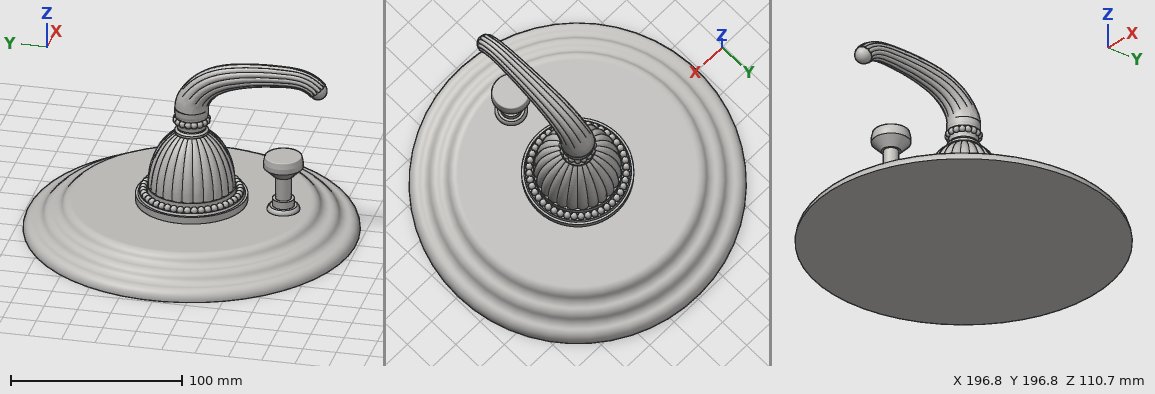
import cadquery as cq
import math

PLATE_RADIUS = 196.85 / 2
PLATE_TOP = 18.8
FLAT_RADIUS = 70.0
STEP_WIDTH = 5.5
STEP_DROP = 3.05
STEP_COUNT = 4
RIM_LAND = 0.2

DISC_RADIUS = 32.8
DISC_TOP = 23.1
BEAD_SEAT_RADIUS = 31.4
BEAD_SEAT_RIM = 30.7
BEAD_SEAT_TOP = 24.5
DOME_SEAT_RADIUS = 25.9
DOME_SEAT_TOP = 28.7
DISC_BEAD_COUNT = 44
DISC_BEAD_RING_RADIUS = 28.4
DISC_BEAD_RADIUS = 2.15
DISC_BEAD_HEIGHT = 25.4

DOME_FLUTES = 24
DOME_RADIUS = 25.6
DOME_ELLIPSE_HEIGHT = 36.5
DOME_TOP = 63.2
DOME_SECTIONS = 7
DOME_GROOVE_RATIO = 0.05

COLLAR_RADIUS = 9.9
COLLAR_BOTTOM = 62.8
COLLAR_EDGE_TOP = 64.3
COLLAR_TOP = 65.3
COLLAR_TOP_RADIUS = 8.4
NECK_RADIUS = 5.8
FLARE_BOTTOM = 66.1
FLARE_EDGE_TOP = 67.4
FLARE_RADIUS = 8.4
FLARE_TOP = 70.0
SHANK_RADIUS = 9.9
SHANK_BOTTOM = 73.0
SHANK_FOOT_RADIUS = 9.6
SHANK_FOOT_TOP = 73.9
SHANK_TAPER_TOP = 75.3
SHANK_TOP = 78.5
NECK_BEAD_COUNT = 16
NECK_BEAD_RING_RADIUS = 8.9
NECK_BEAD_RADIUS = 2.1
NECK_BEAD_HEIGHT = 71.0

BALL_REACH = 75.8
BALL_HEIGHT = 97.9
BALL_RADIUS = 5.3
LEVER_FLUTES = 12
LEVER_GROOVE_DEPTH = 0.8
LEVER_TIP_RADIUS = 5.6
LEVER_TAPER_POWER = 1.5
LEVER_SECTIONS = 12
FLUTE_FADE = 0.2
LEVER_PATH = [
    (0.0, SHANK_TOP),
    (0.9, 83.0),
    (7.4, 92.5),
    (15.5, 97.9),
    (27.9, 101.8),
    (53.3, 104.5),
    (70.7, 102.0),
    (BALL_REACH, BALL_HEIGHT),
]

KNOB_REACH = 55.0
KNOB_FOOT_RADIUS = 9.6
KNOB_FOOT_SHOULDER = 8.0
KNOB_FOOT_TOP = 21.5
KNOB_SLEEVE_RADIUS = 6.4
KNOB_SLEEVE_TOP = 26.1
KNOB_STEM_RADIUS = 4.6
KNOB_STEM_TOP = 40.7
KNOB_CONE_RADIUS = 5.8
KNOB_RIM_RADIUS = 11.6
KNOB_RIM_BOTTOM = 46.5
KNOB_RIM_TOP = 49.6
KNOB_FACE_RADIUS = 10.8
KNOB_TOP = 53.3
KNOB_EDGE_FILLET = 0.6

EMBED = 1.0


def spin(profile):
    """Revolve a closed XZ outline (local y = height) about the Z axis."""
    return profile.close().revolve(360, (0, 0, 0), (0, 1, 0))


def lobed_wire(plane, crest_radius, groove_depth, lobes, first_groove):
    """Closed ring of outward-bulging arcs that meet in grooves."""
    pitch = 2 * math.pi / lobes
    groove_radius = crest_radius - groove_depth

    def point(radius, angle):
        return plane.toWorldCoords((radius * math.cos(angle), radius * math.sin(angle), 0))

    arcs = []
    for i in range(lobes):
        start = first_groove + i * pitch
        arcs.append(cq.Edge.makeThreePointArc(
            point(groove_radius, start),
            point(crest_radius, start + pitch / 2),
            point(groove_radius, start + pitch),
        ))
    return cq.Wire.assembleEdges(arcs)


def bead_ring(count, ring_radius, bead_radius, height):
    beads = cq.Workplane("XY").workplane(offset=height).polarArray(ring_radius, 0, 360, count)
    return beads.sphere(bead_radius, combine=True)


def wall_plate():
    profile = cq.Workplane("XZ").lineTo(0, PLATE_TOP).lineTo(FLAT_RADIUS, PLATE_TOP)
    for step in range(1, STEP_COUNT + 1):
        end = (FLAT_RADIUS + step * STEP_WIDTH, PLATE_TOP - step * STEP_DROP)
        profile = profile.tangentArcPoint(end, relative=False)
    profile = profile.tangentArcPoint((PLATE_RADIUS, RIM_LAND), relative=False)
    return spin(profile.lineTo(PLATE_RADIUS, 0).lineTo(0, 0))


def handle_base():
    outline = [
        (0, PLATE_TOP - EMBED),
        (DISC_RADIUS, PLATE_TOP - EMBED),
        (DISC_RADIUS, DISC_TOP),
        (BEAD_SEAT_RADIUS, DISC_TOP),
        (BEAD_SEAT_RIM, BEAD_SEAT_TOP),
        (DOME_SEAT_RADIUS, BEAD_SEAT_TOP),
        (DOME_SEAT_RADIUS, DOME_SEAT_TOP),
        (0, DOME_SEAT_TOP),
    ]
    base = spin(cq.Workplane("XZ").polyline(outline))
    return base.union(
        bead_ring(DISC_BEAD_COUNT, DISC_BEAD_RING_RADIUS, DISC_BEAD_RADIUS, DISC_BEAD_HEIGHT)
    )


def fluted_dome():
    rise = DOME_TOP - DOME_SEAT_TOP
    sections = []
    for i in range(DOME_SECTIONS):
        climb = rise * i / (DOME_SECTIONS - 1)
        radius = DOME_RADIUS * math.sqrt(1 - (climb / DOME_ELLIPSE_HEIGHT) ** 2)
        plane = cq.Plane((0, 0, DOME_SEAT_TOP + climb))
        sections.append(lobed_wire(plane, radius, DOME_GROOVE_RATIO * radius, DOME_FLUTES, 0))
    return cq.Workplane(cq.Solid.makeLoft(sections))


def neck():
    outline = [
        (0, COLLAR_BOTTOM),
        (COLLAR_RADIUS, COLLAR_BOTTOM),
        (COLLAR_RADIUS, COLLAR_EDGE_TOP),
        (COLLAR_TOP_RADIUS, COLLAR_TOP),
        (NECK_RADIUS, COLLAR_TOP),
        (NECK_RADIUS, FLARE_BOTTOM),
        (FLARE_RADIUS, FLARE_BOTTOM),
        (FLARE_RADIUS, FLARE_EDGE_TOP),
        (NECK_BEAD_RING_RADIUS, FLARE_TOP),
        (NECK_BEAD_RING_RADIUS, SHANK_BOTTOM),
        (SHANK_FOOT_RADIUS, SHANK_BOTTOM),
        (SHANK_FOOT_RADIUS, SHANK_FOOT_TOP),
        (SHANK_RADIUS, SHANK_TAPER_TOP),
        (SHANK_RADIUS, SHANK_TOP),
        (0, SHANK_TOP),
    ]
    body = spin(cq.Workplane("XZ").polyline(outline))
    return body.union(
        bead_ring(NECK_BEAD_COUNT, NECK_BEAD_RING_RADIUS, NECK_BEAD_RADIUS, NECK_BEAD_HEIGHT)
    )


def lever():
    path_points = [cq.Vector(0, -reach, height) for reach, height in LEVER_PATH]
    path = cq.Edge.makeSpline(path_points)
    half_lobe = math.pi / LEVER_FLUTES
    sections = []
    for i in range(LEVER_SECTIONS):
        share = i / (LEVER_SECTIONS - 1)
        slimming = (1 - share) ** LEVER_TAPER_POWER
        radius = LEVER_TIP_RADIUS + (SHANK_RADIUS - LEVER_TIP_RADIUS) * slimming
        depth = LEVER_GROOVE_DEPTH * min(1, share / FLUTE_FADE)
        plane = cq.Plane(path.positionAt(share), (1, 0, 0), path.tangentAt(share))
        sections.append(lobed_wire(plane, radius, depth, LEVER_FLUTES, half_lobe))
    arm = cq.Workplane(cq.Solid.makeLoft(sections))
    ball = cq.Workplane("XY").sphere(BALL_RADIUS).translate((0, -BALL_REACH, BALL_HEIGHT))
    return arm.union(ball)


def diverter_knob():
    profile = (
        cq.Workplane("XZ")
        .moveTo(0, PLATE_TOP - EMBED)
        .lineTo(KNOB_FOOT_RADIUS, PLATE_TOP - EMBED)
        .lineTo(KNOB_FOOT_RADIUS, PLATE_TOP)
        .tangentArcPoint((KNOB_FOOT_SHOULDER, KNOB_FOOT_TOP), relative=False)
        .lineTo(KNOB_SLEEVE_RADIUS, KNOB_FOOT_TOP)
        .lineTo(KNOB_SLEEVE_RADIUS, KNOB_SLEEVE_TOP)
        .lineTo(KNOB_STEM_RADIUS, KNOB_SLEEVE_TOP)
        .lineTo(KNOB_STEM_RADIUS, KNOB_STEM_TOP)
        .lineTo(KNOB_CONE_RADIUS, KNOB_STEM_TOP)
        .lineTo(KNOB_RIM_RADIUS, KNOB_RIM_BOTTOM)
        .lineTo(KNOB_RIM_RADIUS, KNOB_RIM_TOP)
        .lineTo(KNOB_FACE_RADIUS, KNOB_TOP)
        .lineTo(0, KNOB_TOP)
    )
    knob = spin(profile).faces(">Z").edges().fillet(KNOB_EDGE_FILLET)
    return knob.translate((0, -KNOB_REACH, 0))


result = (
    wall_plate()
    .union(handle_base())
    .union(fluted_dome())
    .union(neck())
    .union(lever())
    .union(diverter_knob())
)